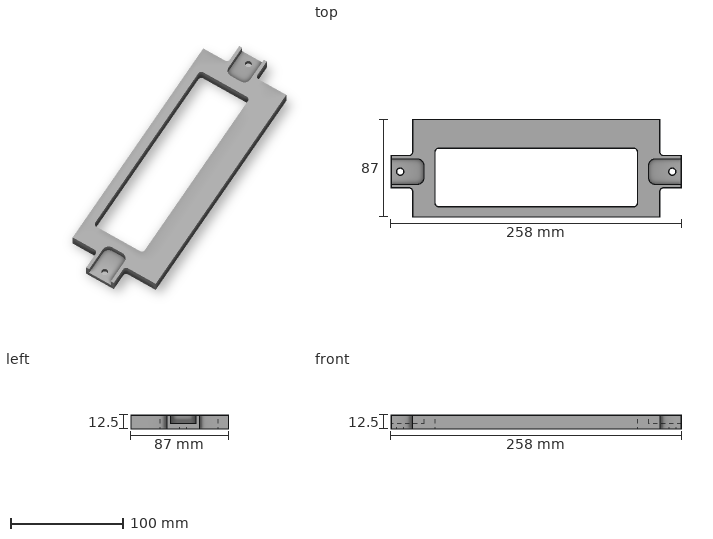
import cadquery as cq

overall_length = 258.0
frame_length = 220.0
frame_width = 87.0
thickness = 12.5

window_length = 179.8
window_width = 51.9
window_offset_y = -8.3
corner_radius = 3.0

tab_width = 29.0
tab_offset_y = -3.0

pocket_length = 29.2
pocket_width = 22.7
pocket_corner_radius = 6.2
pocket_floor_height = 5.2

hole_diameter = 6.2
hole_end_distance = 8.0


def make_plate():
    """Frame and tabs, with filleted inner corners where they meet."""
    frame = cq.Workplane("XY").box(frame_length, frame_width, thickness, centered=(True, True, False))
    tabs = (
        cq.Workplane("XY")
        .center(0, tab_offset_y)
        .box(overall_length, tab_width, thickness, centered=(True, True, False))
    )
    root_corners = cq.selectors.BoxSelector(
        (-frame_length / 2 - corner_radius, tab_offset_y - tab_width, 0),
        (frame_length / 2 + corner_radius, tab_offset_y + tab_width, thickness),
    )
    return frame.union(tabs).edges("|Z").edges(root_corners).fillet(corner_radius)


def make_window():
    return (
        cq.Workplane("XY")
        .center(0, window_offset_y)
        .box(window_length, window_width, thickness, centered=(True, True, False))
        .edges("|Z")
        .fillet(corner_radius)
    )


def make_tab_cutout(side):
    """Pocket and screw hole at one end: side is -1 for left, 1 for right."""
    pocket = (
        cq.Workplane("XY", origin=(0, 0, pocket_floor_height))
        .center(side * (overall_length - pocket_length) / 2, tab_offset_y)
        .box(pocket_length, pocket_width, thickness - pocket_floor_height, centered=(True, True, False))
        .edges("|Z")
        .edges("<X" if side > 0 else ">X")
        .fillet(pocket_corner_radius)
    )
    hole = (
        cq.Workplane("XY")
        .center(side * (overall_length / 2 - hole_end_distance), tab_offset_y)
        .circle(hole_diameter / 2)
        .extrude(thickness)
    )
    return pocket.union(hole)


result = make_plate().cut(make_window())
for end_side in (-1, 1):
    result = result.cut(make_tab_cutout(end_side))